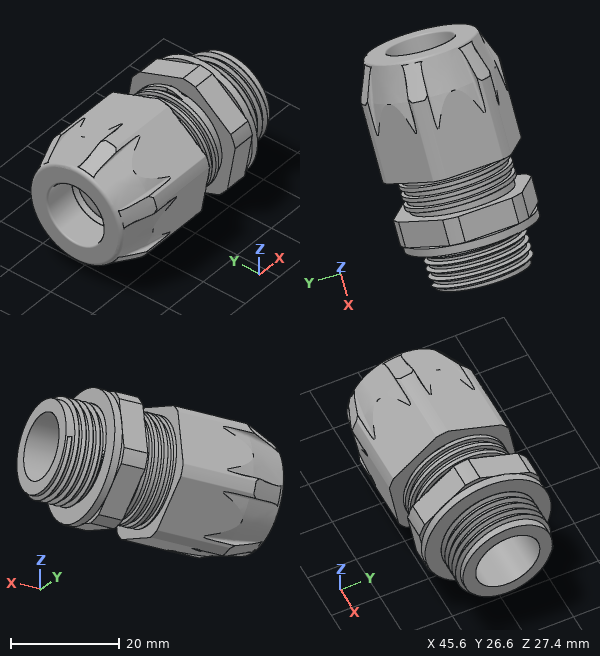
import cadquery as cq
import math


LENGTH = 45.6
CONE_START_X = 0.8
CONE_END_X = 7.53
BODY_FRONT_X = 7.05
CAP_END_X = 23.05
HEX_START_X = 30.5
HEX_END_X = 35.58
GASKET_START_X = 35.8
GASKET_END_X = 37.4

ACROSS_FLATS = 25.0
CORNER_ANGLE = 39.7
CORNER_COUNT = 6
CORNER_PITCH = 360 / CORNER_COUNT

CAP_CORNER_RADIUS = 13.77
CAP_EDGE_FILLET = 0.45
CAP_FACE_RADIUS = 20.45 / 2
CONE_START_RADIUS = 11.1
FRONT_ROUNDING = 0.85
CAP_BORE_RADIUS = 13.25 / 2
LIP_FILLET = 0.4
RIB_HALF_ANGLE = 8.0
RECESS_MID_RADIUS = 12.5
RECESS_END_X = 15.5
RECESS_END_RADIUS = 13.6
RECESS_FILLET = 0.45
RECESS_OVERSHOOT = 1.35

BODY_CORNER_RADIUS = 13.65
FRONT_CORE_RADIUS = 20.15 / 2
REAR_CORE_RADIUS = 18.43 / 2
COLLAR_RADIUS = 11.6
BODY_BORE_RADIUS = 13.2 / 2
THREAD_EMBED = 0.2

FRONT_PITCH = 2.0
FRONT_CREST_RADIUS = 10.8
FRONT_ROOT_WIDTH = 1.1
FRONT_CREST_WIDTH = 0.8
FRONT_ANCHOR_X = 29.3
FRONT_LAST_ANGLE = 80.0
FRONT_TURNS = 4.0
RUNOUT_TOP_Y = 0.45
RUNOUT_FOOT_Y = -1.8

REAR_PITCH = 1.5
REAR_CREST_RADIUS = 10.0
REAR_ROOT_WIDTH = 0.95
REAR_CREST_WIDTH = 0.05
REAR_ANCHOR_X = 43.3
REAR_LAST_ANGLE = 350.0
REAR_TURNS = 6.0

GASKET_RADIUS = 26.0 / 2
PLUG_FRONT_X = 8.45
PLUG_LENGTH = 13.7
PLUG_FACE_RADIUS = 5.97
PLUG_BEVEL_DEPTH = 0.15


def cylinder(start_x, end_x, radius):
    return cq.Workplane("YZ").workplane(offset=start_x).circle(radius).extrude(end_x - start_x)


def turn(shape, angle):
    """Rotate a shape about the gland axis."""
    return shape.rotate((0, 0, 0), (1, 0, 0), angle)


def rounded_hexagon(start_x, end_x, corner_radius):
    """Hexagonal prism whose corners are cut back to a cylinder."""
    circumscribed_diameter = ACROSS_FLATS / math.cos(math.radians(CORNER_PITCH / 2))
    prism = cq.Workplane("YZ").workplane(offset=start_x).polygon(CORNER_COUNT, circumscribed_diameter)
    prism = turn(prism.extrude(end_x - start_x), CORNER_ANGLE)
    return prism.intersect(cylinder(start_x, end_x, corner_radius))


def cap_envelope():
    """Turned outer shape of the cap: rounded front edge, cone and cylinder."""
    profile = (
        cq.Workplane("XY")
        .moveTo(0, 0)
        .lineTo(0, CAP_FACE_RADIUS)
        .radiusArc((CONE_START_X, CONE_START_RADIUS), FRONT_ROUNDING)
        .lineTo(CONE_END_X, CAP_CORNER_RADIUS)
        .lineTo(CAP_END_X, CAP_CORNER_RADIUS)
        .lineTo(CAP_END_X, 0)
        .close()
    )
    return profile.revolve(360, (0, 0, 0), (1, 0, 0))


def recess_cutter():
    """Sector between two ribs, outside a floor of two cones, with filleted floor edges."""
    sweep_angle = CORNER_PITCH - 2 * RIB_HALF_ANGLE
    clear_radius = CAP_CORNER_RADIUS + RECESS_OVERSHOOT
    first_slope = (RECESS_MID_RADIUS - CONE_START_RADIUS) / (CONE_END_X - CONE_START_X)
    front_x = CONE_START_X - RECESS_OVERSHOOT
    front_radius = CONE_START_RADIUS - first_slope * RECESS_OVERSHOOT
    profile = (
        cq.Workplane("XY")
        .moveTo(front_x, front_radius)
        .lineTo(CONE_END_X, RECESS_MID_RADIUS)
        .lineTo(RECESS_END_X, RECESS_END_RADIUS)
        .lineTo(RECESS_END_X, clear_radius)
        .lineTo(front_x, clear_radius)
        .close()
    )
    sector = profile.revolve(sweep_angle, (0, 0, 0), (1, 0, 0))
    floor_edges = [
        edge for edge in sector.edges("%LINE").vals()
        if math.hypot(edge.Center().y, edge.Center().z) < CAP_CORNER_RADIUS
    ]
    sector = sector.newObject(floor_edges).fillet(RECESS_FILLET)
    return turn(sector, CORNER_ANGLE + RIB_HALF_ANGLE)


def make_cap():
    """Hexagonal nut with ribbed front cone, lipped bore and a socket for the body."""
    cap = rounded_hexagon(0, CAP_END_X, CAP_CORNER_RADIUS).edges("|X").fillet(CAP_EDGE_FILLET)
    cap = cap.intersect(cap_envelope())
    cutter = recess_cutter()
    for index in range(CORNER_COUNT):
        cap = cap.cut(turn(cutter, index * CORNER_PITCH))
    cap = cap.cut(cylinder(0, BODY_FRONT_X, CAP_BORE_RADIUS))
    cap = cap.cut(cylinder(BODY_FRONT_X, CAP_END_X, FRONT_CORE_RADIUS))
    bore_edge = cq.selectors.RadiusNthSelector(0)
    return cap.faces("<X").edges(bore_edge).fillet(LIP_FILLET)


def thread_ridge(pitch, turns, root_radius, crest_radius, root_width, crest_width, end_x, end_angle):
    """Right-handed ridge whose last section is centred at end_x, in the direction end_angle."""
    inner_radius = root_radius - THREAD_EMBED
    flank_slope = (root_width - crest_width) / (crest_radius - root_radius)
    inner_width = root_width + flank_slope * THREAD_EMBED
    section = (
        cq.Workplane("XZ")
        .moveTo(inner_radius, -inner_width / 2)
        .lineTo(crest_radius, -crest_width / 2)
        .lineTo(crest_radius, crest_width / 2)
        .lineTo(inner_radius, inner_width / 2)
        .close()
    )
    height = pitch * turns
    helix = cq.Wire.makeHelix(pitch, height, root_radius)
    ridge = section.sweep(cq.Workplane(obj=helix), isFrenet=True)
    ridge = ridge.rotate((0, 0, 0), (1, 1, 1), 120)
    return turn(ridge, end_angle - 360 * turns).translate((end_x - height, 0, 0))


def front_thread():
    """Ridge trimmed flush with the cap, and its run-out block."""
    end_x = FRONT_ANCHOR_X + FRONT_PITCH * FRONT_LAST_ANGLE / 360
    ridge = thread_ridge(
        FRONT_PITCH, FRONT_TURNS, FRONT_CORE_RADIUS, FRONT_CREST_RADIUS,
        FRONT_ROOT_WIDTH, FRONT_CREST_WIDTH, end_x, FRONT_LAST_ANGLE,
    )
    ridge = ridge.intersect(cylinder(CAP_END_X, HEX_START_X, COLLAR_RADIUS))
    return ridge, runout_block(end_x)


def runout_block(center_x):
    """Block that leads the front ridge down to its core."""
    start_y = FRONT_CREST_RADIUS * math.cos(math.radians(FRONT_LAST_ANGLE))
    top_z = FRONT_CREST_RADIUS * math.sin(math.radians(FRONT_LAST_ANGLE))
    foot_z = math.sqrt(FRONT_CORE_RADIUS ** 2 - RUNOUT_FOOT_Y ** 2)
    root_z = foot_z - THREAD_EMBED
    block = (
        cq.Workplane("YZ")
        .workplane(offset=center_x - FRONT_ROOT_WIDTH / 2)
        .moveTo(start_y, root_z)
        .lineTo(start_y, top_z)
        .lineTo(RUNOUT_TOP_Y, top_z)
        .lineTo(RUNOUT_FOOT_Y, foot_z)
        .lineTo(RUNOUT_FOOT_Y, root_z)
        .close()
    )
    return block.extrude(FRONT_ROOT_WIDTH)


def rear_thread():
    """Ridge trimmed flush with the gasket."""
    end_x = REAR_ANCHOR_X + REAR_PITCH * REAR_LAST_ANGLE / 360
    ridge = thread_ridge(
        REAR_PITCH, REAR_TURNS, REAR_CORE_RADIUS, REAR_CREST_RADIUS,
        REAR_ROOT_WIDTH, REAR_CREST_WIDTH, end_x, REAR_LAST_ANGLE,
    )
    return ridge.intersect(cylinder(GASKET_END_X, LENGTH, COLLAR_RADIUS))


def make_body():
    """Tube with a hexagon, a collar and the two threads."""
    body = cylinder(BODY_FRONT_X, HEX_START_X, FRONT_CORE_RADIUS)
    body = body.union(rounded_hexagon(HEX_START_X, HEX_END_X, BODY_CORNER_RADIUS))
    body = body.union(cylinder(HEX_END_X, GASKET_START_X, COLLAR_RADIUS))
    body = body.union(cylinder(GASKET_START_X, LENGTH, REAR_CORE_RADIUS))
    front_ridge, front_runout = front_thread()
    body = body.union(front_ridge).union(front_runout).union(rear_thread())
    return body.cut(cylinder(BODY_FRONT_X, LENGTH, BODY_BORE_RADIUS))


def make_gasket():
    gasket = cylinder(GASKET_START_X, GASKET_END_X, GASKET_RADIUS)
    return gasket.cut(cylinder(GASKET_START_X, GASKET_END_X, REAR_CORE_RADIUS))


def make_plug():
    """Round plug with a shallow bevel around its front face."""
    end_x = PLUG_FRONT_X + PLUG_LENGTH
    profile = (
        cq.Workplane("XY")
        .moveTo(PLUG_FRONT_X, 0)
        .lineTo(PLUG_FRONT_X, PLUG_FACE_RADIUS)
        .lineTo(PLUG_FRONT_X + PLUG_BEVEL_DEPTH, BODY_BORE_RADIUS)
        .lineTo(end_x, BODY_BORE_RADIUS)
        .lineTo(end_x, 0)
        .close()
    )
    return profile.revolve(360, (0, 0, 0), (1, 0, 0))


cap = make_cap()
body = make_body()
gasket = make_gasket()
plug = make_plug()

result = cq.Compound.makeCompound([cap.val(), body.val(), gasket.val(), plug.val()])